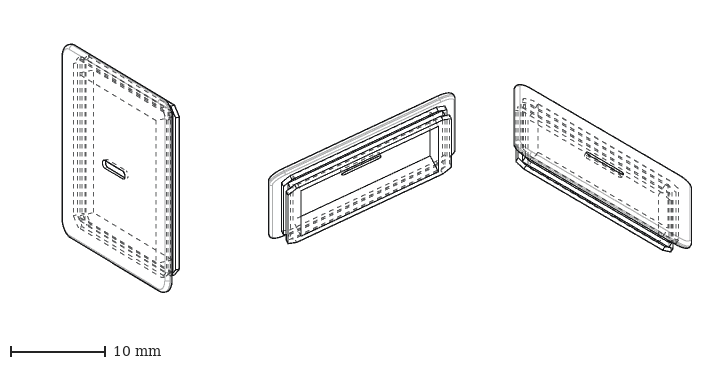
import cadquery as cq

plate_side = 21.85
plate_thickness = 0.79
plate_corner_radius = 1.8
front_edge_radius = 0.4
rear_edge_radius = 0.25

flange_side = 19.22
flange_thickness = 0.48
flange_corner_chamfer = 1.0
groove_width = 0.61
core_side = 18.17

rim_thickness = 1.0
recess_side = core_side - 2 * rim_thickness
front_wall = 0.4

slot_length = 4.6
slot_height = 0.87
slot_center_z = -0.07

plug_depth = 2 * flange_thickness + groove_width
total_depth = plate_thickness + plug_depth


def square_block(side, start_y, depth):
    """Square block centred on the Y axis, running from start_y toward +Y."""
    return cq.Workplane("XZ", origin=(0, start_y, 0)).rect(side, side).extrude(-depth)


def make_plate():
    plate = square_block(plate_side, 0, plate_thickness).edges("|Y").fillet(plate_corner_radius)
    plate = plate.faces("<Y").edges().fillet(front_edge_radius)
    return plate.faces(">Y").edges().fillet(rear_edge_radius)


def make_flange(start_y):
    flange = square_block(flange_side, start_y, flange_thickness)
    return flange.edges("|Y").chamfer(flange_corner_chamfer)


def make_slot():
    return cq.Workplane("XZ", origin=(0, 0, slot_center_z)).slot2D(slot_length, slot_height).extrude(-total_depth)


core = square_block(core_side, plate_thickness, plug_depth)
recess = square_block(recess_side, front_wall, total_depth - front_wall)

result = make_plate().union(core)
for flange_start in (plate_thickness, total_depth - flange_thickness):
    result = result.union(make_flange(flange_start))
result = result.cut(recess).cut(make_slot())